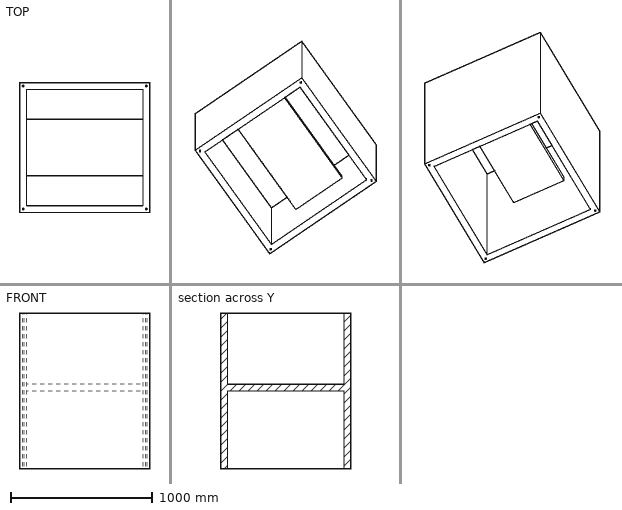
import cadquery as cq

height = 1100.0
side = 920.0
wall = 50.0
base_height = 100.0
shelf_width = 400.0
shelf_top = 600.0
shelf_thickness = wall
hole_diameter = 10.0

opening = side - 2 * wall
hole_spacing = side - wall


def square_frame(bottom, top):
    """Square tube between two heights, open at both ends."""
    return (
        cq.Workplane("XY", origin=(0, 0, bottom))
        .rect(side, side)
        .rect(opening, opening)
        .extrude(top - bottom)
    )


def cross_shelf():
    """Flat shelf spanning the opening along X, joined to both side walls."""
    return (
        cq.Workplane("XY", origin=(0, 0, shelf_top - shelf_thickness))
        .rect(opening, shelf_width)
        .extrude(shelf_thickness)
    )


def corner_holes():
    """Vertical holes through the full height at the four corners."""
    return (
        cq.Workplane("XY")
        .rect(hole_spacing, hole_spacing, forConstruction=True)
        .vertices()
        .circle(hole_diameter / 2)
        .extrude(height)
    )


base = square_frame(0, base_height)
upper = square_frame(base_height, height)
body = base.union(upper, clean=False).union(cross_shelf(), clean=False)
result = body.cut(corner_holes(), clean=False)